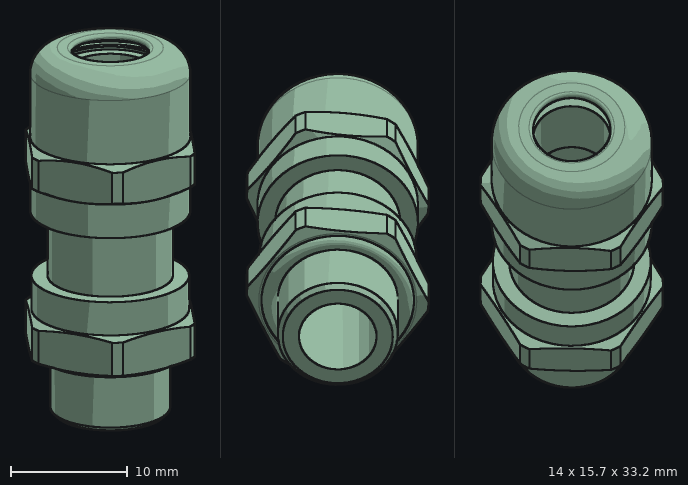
import cadquery as cq
import math

TOTAL_HEIGHT = 33.23
HEX_SIDES = 6
ACROSS_FLATS = 14.0
HEX_CORNER_DIAMETER = 15.65
HEX_CORNER_RADIUS = HEX_CORNER_DIAMETER / 2
BORE_RADIUS = 3.32

THREAD_RADIUS = 5.15
THREAD_CHAMFER = 0.43
BODY_HEX_BOTTOM = 5.8
BODY_HEX_TOP = 9.45
BODY_HEX_CHAMFER_DROP = 0.3
COLLAR_RADIUS = 6.78
COLLAR_TOP = 12.45
NECK_RADIUS = 5.38

O_RING_SECTION_RADIUS = 0.7
O_RING_BOTTOM = 5.32
O_RING_CENTRE_RADIUS = THREAD_RADIUS + O_RING_SECTION_RADIUS
O_RING_CENTRE_HEIGHT = O_RING_BOTTOM + O_RING_SECTION_RADIUS

CAP_RADIUS = 6.88
CAP_BOTTOM = 18.35
CAP_EDGE_FILLET = 2.33
CAP_HEX_BOTTOM = 21.4
CAP_HEX_TOP = 25.1
CAP_HEX_CHAMFER_DROP = 0.43
CAP_LIP_THICKNESS = 0.5
CAP_HOLE_RADIUS = 3.32
CAP_HOLE_FILLET = 0.33

BODY_TOP = CAP_HEX_TOP
SEAL_RADIUS = 4.4
SEAL_TOP = 31.47
CLAMP_TOP = 31.85
CLAMP_LEAD_IN_WIDTH = 0.25
CLAMP_LEAD_IN_DEPTH = 0.1


def cylinder(radius, bottom, top):
    return cq.Workplane("XY").workplane(offset=bottom).circle(radius).extrude(top - bottom)


def tube(outer_radius, inner_radius, bottom, top):
    return cylinder(outer_radius, bottom, top).cut(cylinder(inner_radius, bottom, top))


def hexagon(bottom, top, face_radius, chamfer_drop):
    """Hexagonal prism whose corners are turned down and chamfered above and below."""
    across_corners = ACROSS_FLATS / math.cos(math.pi / HEX_SIDES)
    prism = (
        cq.Workplane("XY")
        .workplane(offset=bottom)
        .transformed(rotate=(0, 0, 180 / HEX_SIDES))
        .polygon(HEX_SIDES, across_corners)
        .extrude(top - bottom)
    )
    turned_blank = (
        cq.Workplane("XZ")
        .moveTo(0, bottom)
        .lineTo(face_radius, bottom)
        .lineTo(HEX_CORNER_RADIUS, bottom + chamfer_drop)
        .lineTo(HEX_CORNER_RADIUS, top - chamfer_drop)
        .lineTo(face_radius, top)
        .lineTo(0, top)
        .close()
        .revolve(360, (0, 0, 0), (0, 1, 0))
    )
    return prism.intersect(turned_blank)


def make_body():
    """Threaded stub, hexagon, collar and neck with a straight bore and an O-ring recess."""
    thread = cylinder(THREAD_RADIUS, 0, BODY_HEX_TOP).faces("<Z").chamfer(THREAD_CHAMFER)
    flange = hexagon(BODY_HEX_BOTTOM, BODY_HEX_TOP, COLLAR_RADIUS, BODY_HEX_CHAMFER_DROP)
    o_ring_recess = tube(
        O_RING_CENTRE_RADIUS + O_RING_SECTION_RADIUS,
        THREAD_RADIUS,
        BODY_HEX_BOTTOM,
        O_RING_CENTRE_HEIGHT + O_RING_SECTION_RADIUS,
    )
    collar = cylinder(COLLAR_RADIUS, BODY_HEX_TOP, COLLAR_TOP)
    neck = cylinder(NECK_RADIUS, COLLAR_TOP, BODY_TOP)
    bore = cylinder(BORE_RADIUS, 0, BODY_TOP)
    return flange.cut(o_ring_recess).union(thread).union(collar).union(neck).cut(bore)


def make_o_ring():
    return (
        cq.Workplane("XZ")
        .center(O_RING_CENTRE_RADIUS, O_RING_CENTRE_HEIGHT)
        .circle(O_RING_SECTION_RADIUS)
        .revolve(360, (-O_RING_CENTRE_RADIUS, 0, 0), (-O_RING_CENTRE_RADIUS, 1, 0))
    )


def make_cap():
    """Domed cap nut with a hexagon, a deep socket and a rounded cable hole in its lip."""
    barrel = cylinder(CAP_RADIUS, CAP_BOTTOM, TOTAL_HEIGHT).faces(">Z").edges().fillet(CAP_EDGE_FILLET)
    grip = hexagon(CAP_HEX_BOTTOM, CAP_HEX_TOP, CAP_RADIUS, CAP_HEX_CHAMFER_DROP)
    socket = cylinder(NECK_RADIUS, CAP_BOTTOM, TOTAL_HEIGHT - CAP_LIP_THICKNESS)
    cable_hole = cylinder(CAP_HOLE_RADIUS, CAP_BOTTOM, TOTAL_HEIGHT)
    cap = barrel.union(grip).cut(socket).cut(cable_hole)
    hole_rim = cq.selectors.RadiusNthSelector(0)
    return cap.faces(">Z").edges(hole_rim).fillet(CAP_HOLE_FILLET)


def make_clamp_ring():
    """Plain sleeve with a shallow conical lead-in around its upper inner edge."""
    sleeve = tube(NECK_RADIUS, SEAL_RADIUS, BODY_TOP, CLAMP_TOP)
    inner_edge = cq.selectors.RadiusNthSelector(0)
    return sleeve.faces(">Z").edges(inner_edge).chamfer(CLAMP_LEAD_IN_WIDTH, CLAMP_LEAD_IN_DEPTH)


body = make_body()
o_ring = make_o_ring()
cap_nut = make_cap()
clamp_ring = make_clamp_ring()
seal = tube(SEAL_RADIUS, BORE_RADIUS, BODY_TOP, SEAL_TOP)

result = cq.Compound.makeCompound(
    [body.val(), o_ring.val(), cap_nut.val(), clamp_ring.val(), seal.val()]
)